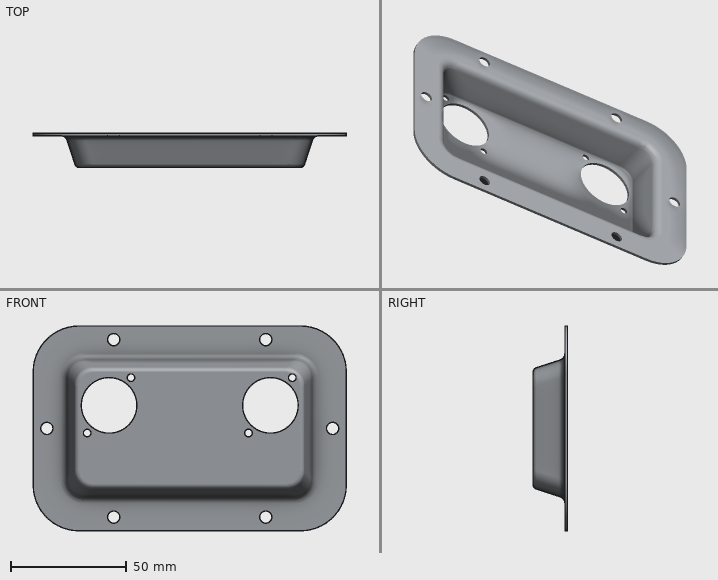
import cadquery as cq
import math

flange_length = 136.0
flange_height = 89.0
flange_corner_radius = 20.0
sheet = 1.2

depth = 15.0
draft = math.radians(18.0)
mouth_length = 106.0
mouth_height = 59.0
inner_corner_radius = 7.0
inner_floor_radius = 1.0
mouth_bend_radius = 4.0

connector_pitch = 70.0
connector_z = 10.0
connector_diameter = 24.0
connector_screw_dx = 9.5
connector_screw_dz = 12.0
connector_screw_diameter = 3.2

mount_diameter = 5.2
mount_row_x = 33.0
mount_row_z = 38.5
mount_end_x = 62.0

wall_offset = sheet / math.cos(draft)
outer_mouth_length = mouth_length + 2 * wall_offset
outer_mouth_height = mouth_height + 2 * wall_offset


def dish_form(length, height, form_depth, corner_radius, floor_radius):
    """Solid tray form, length x height at Y = 0 and narrowing to its floor at Y = -form_depth."""
    return (
        cq.Workplane("XZ")
        .rect(length, height)
        .extrude(form_depth, taper=math.degrees(draft))
        .edges("not(|X or |Z)")
        .fillet(corner_radius)
        .faces("<Y")
        .edges()
        .fillet(floor_radius)
    )


def edges_around_dish(y):
    """Selector for the edges at height y that lie within the outer mouth."""
    half_length = outer_mouth_length / 2
    half_height = outer_mouth_height / 2
    margin = sheet / 10
    return cq.selectors.BoxSelector(
        (-half_length, y - margin, -half_height),
        (half_length, y + margin, half_height),
    )


def make_shell():
    """Flange and hollow dish, with the bends where they meet."""
    flange = (
        cq.Workplane("XZ")
        .rect(flange_length, flange_height)
        .extrude(sheet)
        .edges("|Y")
        .fillet(flange_corner_radius)
    )
    outer = dish_form(
        outer_mouth_length,
        outer_mouth_height,
        depth,
        inner_corner_radius + sheet,
        inner_floor_radius + sheet,
    )
    inner = dish_form(
        mouth_length,
        mouth_height,
        depth - sheet,
        inner_corner_radius,
        inner_floor_radius,
    )
    body = flange.union(outer)
    body = body.edges(edges_around_dish(-sheet)).fillet(mouth_bend_radius - sheet)
    body = body.cut(inner)
    return body.edges(edges_around_dish(0)).fillet(mouth_bend_radius)


def cut_holes(body, centers, diameter):
    """Cut round holes along Y through everything at the given (x, z) centers."""
    pins = (
        cq.Workplane("XZ")
        .pushPoints(centers)
        .circle(diameter / 2)
        .extrude(depth)
    )
    return body.cut(pins)


def cut_connector_openings(body):
    for x in (-connector_pitch / 2, connector_pitch / 2):
        screws = [
            (x + side * connector_screw_dx, connector_z + side * connector_screw_dz)
            for side in (-1, 1)
        ]
        body = cut_holes(body, [(x, connector_z)], connector_diameter)
        body = cut_holes(body, screws, connector_screw_diameter)
    return body


def cut_mounting_holes(body):
    centers = [(x, z) for x in (-mount_row_x, mount_row_x) for z in (-mount_row_z, mount_row_z)]
    centers += [(-mount_end_x, 0), (mount_end_x, 0)]
    return cut_holes(body, centers, mount_diameter)


shell = make_shell()
shell = cut_connector_openings(shell)
result = cut_mounting_holes(shell)